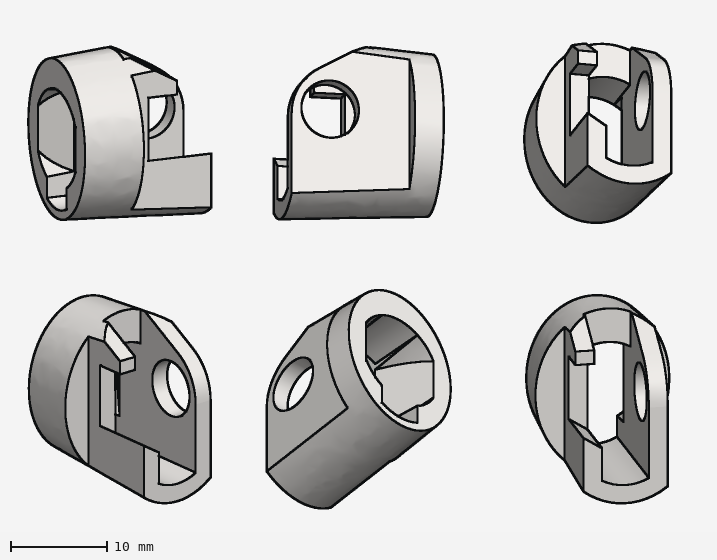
import cadquery as cq
import math

length = 15.6
front_semi_x = 7.18
front_semi_z = 8.53
body_growth = 1.02

arm_outer_x = 4.5
slot_half_width = 2.48
left_arm_start = 3.1
right_arm_start = 6.51
arm_slope_front_y = 7.35
arm_slope_front_z = 8.47
arm_slope_angle = 29.0
arm_corner_radius = 5.55

pin_y = 11.5
pin_z = 1.2
pin_radius = 3.05
hook_tip_y = 11.71
hook_roof_z = 4.59
ramp_angle = 32.0

bore_radius = 5.31
passage_floor_z = -7.57
pocket_half_width = 4.74
left_pocket_end_radius = 5.09
right_pocket_end_radius = 4.65

oversize = 37.0


def box(x_min, x_max, y_min, y_max, z_min=-oversize, z_max=oversize):
    size = (x_max - x_min, y_max - y_min, z_max - z_min)
    return cq.Workplane("XY").box(*size, centered=False).translate((x_min, y_min, z_min))


def side_prism(points, x_min, x_max):
    """Extrude a (y, z) outline along X."""
    return cq.Workplane("YZ").polyline(points).close().extrude(x_max - x_min).translate((x_min, 0, 0))


def pin_cylinder(x_min, x_max):
    cylinder = cq.Workplane("YZ").center(pin_y, pin_z).circle(pin_radius).extrude(x_max - x_min)
    return cylinder.translate((x_min, 0, 0))


def make_body():
    return (
        cq.Workplane("XZ")
        .ellipse(front_semi_x, front_semi_z)
        .workplane(offset=-length)
        .ellipse(front_semi_x + body_growth, front_semi_z + body_growth)
        .loft(combine=True)
    )


def arm_envelope():
    """Side profile of the arms: sloped top with a rounded back corner."""
    slope = math.tan(math.radians(arm_slope_angle))
    corner_z = arm_slope_front_z - slope * (length - arm_slope_front_y)
    front_z = arm_slope_front_z + slope * arm_slope_front_y
    outline = [(0, -oversize), (length, -oversize), (length, corner_z), (0, front_z)]
    envelope = side_prism(outline, -oversize, oversize)
    corner = cq.selectors.NearestToPointSelector((0, length, corner_z))
    return envelope.edges(corner).fillet(arm_corner_radius)


def make_passage():
    """Slot with a rounded roof and floor, running the full length."""
    shoulder = math.sqrt(bore_radius**2 - slot_half_width**2)
    floor_edge = passage_floor_z + bore_radius - shoulder
    return (
        cq.Workplane("XZ")
        .moveTo(-slot_half_width, floor_edge)
        .lineTo(-slot_half_width, shoulder)
        .threePointArc((0, bore_radius), (slot_half_width, shoulder))
        .lineTo(slot_half_width, floor_edge)
        .threePointArc((0, passage_floor_z), (-slot_half_width, floor_edge))
        .close()
        .extrude(-length)
    )


def make_pocket(side, depth, end_radius):
    """Conical pocket whose side wall slants in to meet the slot at the given depth."""
    cone = (
        cq.Workplane("XZ")
        .circle(bore_radius)
        .workplane(offset=-depth)
        .circle(end_radius)
        .loft(combine=True)
    )
    wedge = (
        cq.Workplane("XY")
        .polyline([
            (0, 0),
            (side * pocket_half_width, 0),
            (side * slot_half_width, depth),
            (0, depth),
        ])
        .close()
        .extrude(oversize, both=True)
    )
    outside = box(slot_half_width, oversize, 0, length)
    if side < 0:
        outside = box(-oversize, -slot_half_width, 0, length)
    return cone.intersect(wedge).intersect(outside)


def make_hook_slot():
    """Slot open towards the back, under a hook, with a floor ramping up towards +X."""
    slot_front_y = pin_y - pin_radius
    roof_height = hook_roof_z - pin_z
    floor_outer_z = pin_z - roof_height
    ramp_rise = math.tan(math.radians(ramp_angle)) * (arm_outer_x - slot_half_width)
    section = [
        (slot_half_width, floor_outer_z - ramp_rise),
        (arm_outer_x, floor_outer_z),
        (arm_outer_x, hook_roof_z),
        (slot_half_width, hook_roof_z),
    ]
    slot = cq.Workplane("XZ").polyline(section).close().extrude(slot_front_y - length)
    slot = slot.translate((0, slot_front_y, 0))
    behind_tip = box(slot_half_width, arm_outer_x, hook_tip_y, length, z_min=pin_z)
    return slot.union(behind_tip)


body = make_body()

body = body.cut(box(-oversize, -arm_outer_x, left_arm_start, oversize))
body = body.cut(box(arm_outer_x, oversize, right_arm_start, oversize))

body = body.intersect(arm_envelope())
body = body.cut(make_passage())
body = body.cut(box(-slot_half_width, slot_half_width, right_arm_start, oversize, z_min=0))

body = body.cut(make_pocket(-1, left_arm_start, left_pocket_end_radius))
body = body.cut(make_pocket(1, right_arm_start, right_pocket_end_radius))

body = body.cut(pin_cylinder(-oversize, 0))
result = body.cut(make_hook_slot())